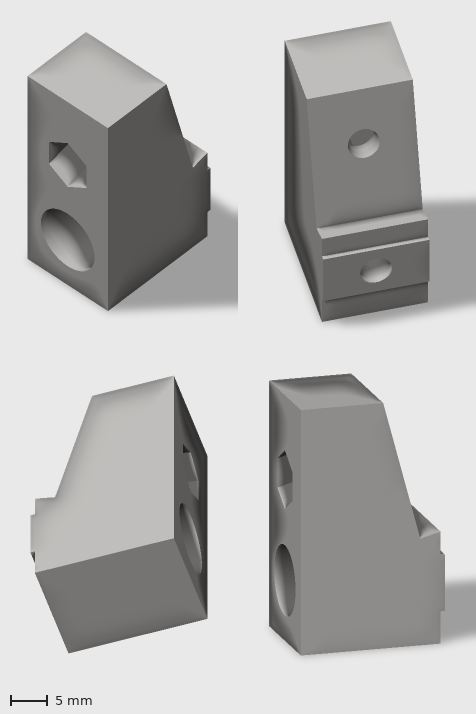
import cadquery as cq
import math

width = 15.0
height = 35.0
body_depth = 20.0
total_depth = 20.6

lean = 15.0
notch_depth = 17.08
notch_height = 15.2

bore_height = 8.6
tongue_height = 8.0

hole_diameter = 4.5
counterbore_diameter = 10.0
hex_flats = 7.0
hex_height = 22.95
seat_wall = 3.5

lean_slope = math.tan(math.radians(lean))
top_depth = notch_depth - (height - notch_height) * lean_slope
ledge_height = notch_height + (body_depth - notch_depth) * lean_slope


def make_body():
    """Side profile with its leaning back, plus the tongue."""
    profile = [
        (0, 0),
        (body_depth, 0),
        (body_depth, ledge_height),
        (notch_depth, notch_height),
        (top_depth, height),
        (0, height),
    ]
    block = cq.Workplane("YZ").polyline(profile).close().extrude(width / 2, both=True)
    tongue = cq.Workplane("XY").box(
        width, total_depth - notch_depth, tongue_height, centered=(True, False, True)
    ).translate((0, notch_depth, bore_height))
    return block.union(tongue)


def make_counterbored_hole():
    """Straight through hole with a deep counterbore from the front."""
    front = cq.Workplane("XZ", origin=(0, 0, bore_height))
    hole = front.circle(hole_diameter / 2).extrude(-total_depth)
    counterbore = front.circle(counterbore_diameter / 2).extrude(-(total_depth - seat_wall))
    return hole.union(counterbore)


def make_hex_pocket():
    """Nut pocket and hole on an axis square to the leaning face."""
    angle = math.radians(lean)
    axis = cq.Vector(0, math.cos(angle), math.sin(angle))
    axis_length = (
        notch_depth * math.cos(angle) + (notch_height - hex_height) * math.sin(angle)
    )
    overrun = hex_flats
    start = cq.Vector(0, 0, hex_height) - axis * overrun
    up = (0, -math.sin(angle), math.cos(angle))
    plane = cq.Workplane(cq.Plane(origin=start, xDir=up, normal=axis))
    hex_corners = hex_flats / math.cos(math.pi / 6)
    pocket = plane.polygon(6, hex_corners).extrude(overrun + axis_length - seat_wall)
    hole = plane.circle(hole_diameter / 2).extrude(axis_length + 2 * overrun)
    return pocket.union(hole)


result = make_body().cut(make_counterbored_hole()).cut(make_hex_pocket())